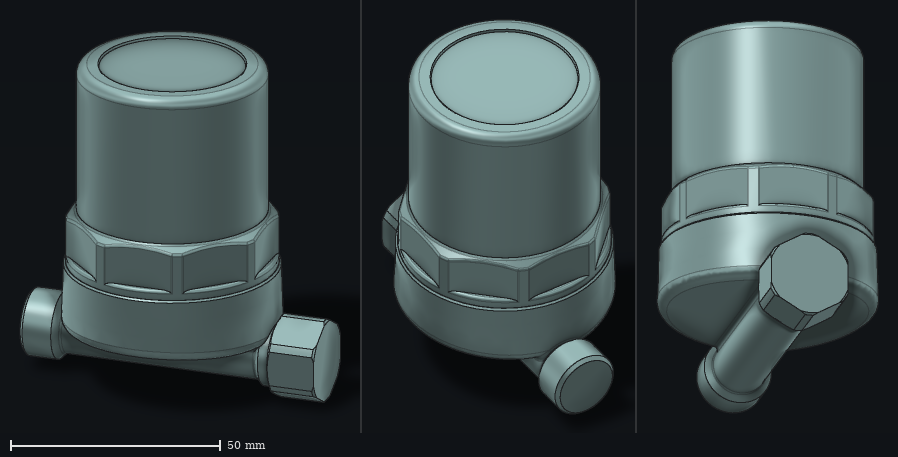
import cadquery as cq
import math


PIPE_RADIUS = 6.6
SPIGOT_END_X = -36.0
SPIGOT_RADIUS = 8.3
SPIGOT_LENGTH = 8.15
SPIGOT_CHAMFER = 0.9
COLLAR_START_X = 24.45
COLLAR_RADIUS = 7.9
PIPE_BLEND = 0.8
PIPE_BLEND_LENGTH = PIPE_BLEND * math.tan(math.pi / 8)
PIPE_BLEND_RISE = PIPE_BLEND_LENGTH * math.sin(math.pi / 4)

HEX_START_X = 27.2
HEX_END_X = 39.3
HEX_SIDES = 6
HEX_ACROSS_FLATS = 19.0
HEX_CORNER_RADIUS = 10.4
HEX_INNER_CHAMFER_LENGTH = 0.8
HEX_INNER_CHAMFER_DEPTH = 1.4
HEX_OUTER_CHAMFER = 0.5

SPLIT_Z = 20.45
BOWL_TOP_RADIUS = 26.1
BOWL_BOTTOM_RADIUS = 26.7
BOWL_RIM_CHAMFER = 0.5
BOWL_FLOOR_Z = 3.6
BOWL_FLOOR_RISE = 1.55
BOWL_FLOOR_FILLET = 2.6
BOWL_PIPE_FILLET = 1.1

CAP_TOP_Z = 71.1
CAP_RADIUS = 23.0
CAP_TOP_FILLET = 2.5
CAP_RECESS_RADIUS = 17.8
CAP_RECESS_DEPTH = 0.6
CAP_RECESS_TAPER = 0.25
FLANGE_RADIUS = 25.5
CAP_FOOT_Z = 34.0
CAP_FOOT_FLARE = 0.5
FLANGE_CHAMFER_END_Z = 32.1
FLAT_COUNT = 8
FLAT_DISTANCE = 24.05
FLAT_BOTTOM_Z = 22.9
FLAT_EDGE_FILLET = 0.8


def turn_about_pipe(profile):
    return profile.close().revolve(360, (0, 0, 0), (1, 0, 0))


def make_spigot():
    """Chamfered round end at -X that tapers down to the tube."""
    back_x = SPIGOT_END_X + SPIGOT_LENGTH
    root_x = back_x + SPIGOT_RADIUS - PIPE_RADIUS
    profile = (
        cq.Workplane("XZ")
        .moveTo(SPIGOT_END_X, 0)
        .lineTo(SPIGOT_END_X, SPIGOT_RADIUS - SPIGOT_CHAMFER)
        .lineTo(SPIGOT_END_X + SPIGOT_CHAMFER, SPIGOT_RADIUS)
        .lineTo(back_x, SPIGOT_RADIUS)
        .lineTo(root_x - PIPE_BLEND_RISE, PIPE_RADIUS + PIPE_BLEND_RISE)
        .radiusArc((root_x + PIPE_BLEND_LENGTH, PIPE_RADIUS), -PIPE_BLEND)
        .lineTo(root_x + PIPE_BLEND_LENGTH, 0)
    )
    return turn_about_pipe(profile)


def make_collar():
    """Round collar behind the hexagon that tapers down to the tube."""
    root_x = COLLAR_START_X - (COLLAR_RADIUS - PIPE_RADIUS)
    profile = (
        cq.Workplane("XZ")
        .moveTo(root_x - PIPE_BLEND_LENGTH, 0)
        .lineTo(root_x - PIPE_BLEND_LENGTH, PIPE_RADIUS)
        .radiusArc((root_x + PIPE_BLEND_RISE, PIPE_RADIUS + PIPE_BLEND_RISE), -PIPE_BLEND)
        .lineTo(COLLAR_START_X, COLLAR_RADIUS)
        .lineTo(HEX_START_X, COLLAR_RADIUS)
        .lineTo(HEX_START_X, 0)
    )
    return turn_about_pipe(profile)


def make_hex():
    """Hexagon with its corners turned down and chamfered, one corner pointing up."""
    length = HEX_END_X - HEX_START_X
    corner_diameter = HEX_ACROSS_FLATS / math.cos(math.pi / HEX_SIDES)
    prism = (
        cq.Workplane("YZ", origin=(HEX_START_X, 0, 0))
        .transformed(rotate=(0, 0, 90))
        .polygon(HEX_SIDES, corner_diameter)
        .extrude(length)
    )
    turned_envelope = turn_about_pipe(
        cq.Workplane("XZ")
        .moveTo(HEX_START_X, 0)
        .lineTo(HEX_START_X, HEX_CORNER_RADIUS - HEX_INNER_CHAMFER_DEPTH)
        .lineTo(HEX_START_X + HEX_INNER_CHAMFER_LENGTH, HEX_CORNER_RADIUS)
        .lineTo(HEX_END_X - HEX_OUTER_CHAMFER, HEX_CORNER_RADIUS)
        .lineTo(HEX_END_X, HEX_CORNER_RADIUS - HEX_OUTER_CHAMFER)
        .lineTo(HEX_END_X, 0)
    )
    return prism.intersect(turned_envelope)


def make_bowl():
    """Drafted round bowl whose floor curves up from the pipe axis to both sides."""
    body = (
        cq.Workplane("YZ")
        .moveTo(0, 0)
        .lineTo(BOWL_BOTTOM_RADIUS, 0)
        .lineTo(BOWL_TOP_RADIUS, SPLIT_Z - BOWL_RIM_CHAMFER)
        .lineTo(BOWL_TOP_RADIUS - BOWL_RIM_CHAMFER, SPLIT_Z)
        .lineTo(0, SPLIT_Z)
        .close()
        .revolve(360, (0, 0, 0), (0, 1, 0))
    )
    half_width = BOWL_BOTTOM_RADIUS
    floor_edge_z = BOWL_FLOOR_Z + BOWL_FLOOR_RISE
    below_floor = (
        cq.Workplane("YZ", origin=(-2 * half_width, 0, 0))
        .moveTo(-half_width, 0)
        .lineTo(-half_width, floor_edge_z)
        .threePointArc((0, BOWL_FLOOR_Z), (half_width, floor_edge_z))
        .lineTo(half_width, 0)
        .close()
        .extrude(4 * half_width)
    )
    bowl = body.cut(below_floor)
    floor_edges = [edge for edge in bowl.edges("not %LINE").vals() if edge.Center().z < SPLIT_Z / 2]
    return bowl.newObject(floor_edges).fillet(BOWL_FLOOR_FILLET)


def make_housing():
    """Bowl blended into the pipe, with the spigot, collar and hexagon added at the pipe ends."""
    tube_start_x = SPIGOT_END_X + SPIGOT_LENGTH
    tube = (
        cq.Workplane("YZ", origin=(tube_start_x, 0, 0))
        .circle(PIPE_RADIUS)
        .extrude(COLLAR_START_X - tube_start_x)
    )
    body = make_bowl().union(tube)

    def is_on_tube(edge):
        middle = edge.positionAt(0.5)
        return math.isclose(math.hypot(middle.y, middle.z), PIPE_RADIUS, abs_tol=0.01)

    seams = [edge for edge in body.edges("not(%LINE or %CIRCLE)").vals() if is_on_tube(edge)]
    body = body.newObject(seams).fillet(BOWL_PIPE_FILLET)
    return body.union(make_spigot()).union(make_collar()).union(make_hex())


def make_cap():
    """Round cap with a shallow top recess and an octagonal grip above its flange."""
    body = (
        cq.Workplane("XZ")
        .moveTo(0, SPLIT_Z)
        .lineTo(FLANGE_RADIUS, SPLIT_Z)
        .lineTo(FLANGE_RADIUS, FLANGE_CHAMFER_END_Z)
        .lineTo(CAP_RADIUS + CAP_FOOT_FLARE, CAP_FOOT_Z - CAP_FOOT_FLARE)
        .lineTo(CAP_RADIUS, CAP_FOOT_Z)
        .lineTo(CAP_RADIUS, CAP_TOP_Z - CAP_TOP_FILLET)
        .radiusArc((CAP_RADIUS - CAP_TOP_FILLET, CAP_TOP_Z), -CAP_TOP_FILLET)
        .lineTo(CAP_RECESS_RADIUS, CAP_TOP_Z)
        .lineTo(CAP_RECESS_RADIUS - CAP_RECESS_TAPER, CAP_TOP_Z - CAP_RECESS_DEPTH)
        .lineTo(0, CAP_TOP_Z - CAP_RECESS_DEPTH)
        .close()
        .revolve(360, (0, 0, 0), (0, 1, 0))
    )
    for index in range(FLAT_COUNT):
        body = body.cut(
            cq.Workplane("XY", origin=(0, 0, FLAT_BOTTOM_Z))
            .rect(FLANGE_RADIUS, 2 * FLANGE_RADIUS)
            .extrude(CAP_FOOT_Z - FLAT_BOTTOM_Z)
            .translate((FLAT_DISTANCE + FLANGE_RADIUS / 2, 0, 0))
            .rotate((0, 0, 0), (0, 0, 1), index * 360 / FLAT_COUNT)
        )
    return round_flat_edges(body)


def round_flat_edges(body):
    """Round every convex edge around the flats, leaving the inner corner along each floor sharp."""
    def is_floor_corner(edge):
        return edge.geomType() == "LINE" and math.isclose(edge.Center().z, FLAT_BOTTOM_Z, abs_tol=0.01)

    flat_edges = [
        edge for edge in body.edges().vals()
        if FLAT_BOTTOM_Z - 0.1 < edge.Center().z < CAP_FOOT_Z - CAP_FOOT_FLARE - 0.1
        and not is_floor_corner(edge)
    ]
    return body.newObject(flat_edges).fillet(FLAT_EDGE_FILLET)


housing = make_housing()
cap = make_cap()
result = cq.Compound.makeCompound([housing.solids().val(), cap.solids().val()])